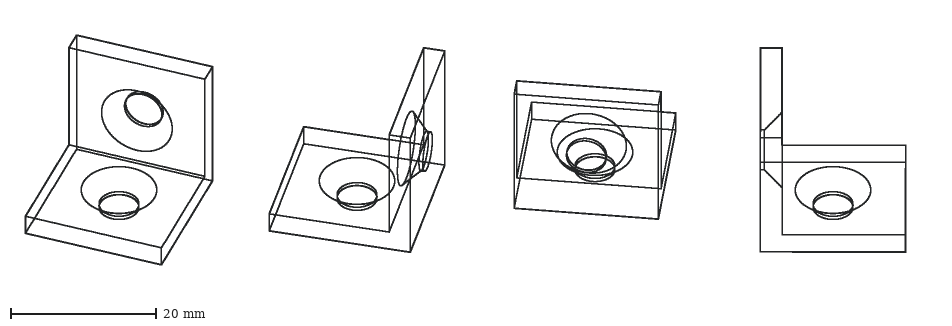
import cadquery as cq

side = 20.0
thickness = 3.0
hole_diameter = 5.5
countersink_diameter = 10.4
countersink_angle = 90.0
hole_offset = side / 2


def plate(depth, height):
    """Full-width plate whose lower back edge lies on the outer corner of the bracket."""
    return cq.Workplane("XY").box(side, depth, height, centered=(True, False, False)).translate((0, -depth, 0))


def countersunk_leg(leg, inner_face):
    """Drill a countersunk through hole into a leg from the given inner face plane."""
    return leg.copyWorkplane(inner_face).cskHole(hole_diameter, countersink_diameter, countersink_angle)


bracket = plate(side, thickness).union(plate(thickness, side))

base_face = cq.Workplane("XY", origin=(0, -hole_offset, thickness))
bracket = countersunk_leg(bracket, base_face)

wall_face = cq.Workplane("XZ", origin=(0, -thickness, hole_offset))
bracket = countersunk_leg(bracket, wall_face)

result = bracket.translate((0, side / 2, -side / 2))